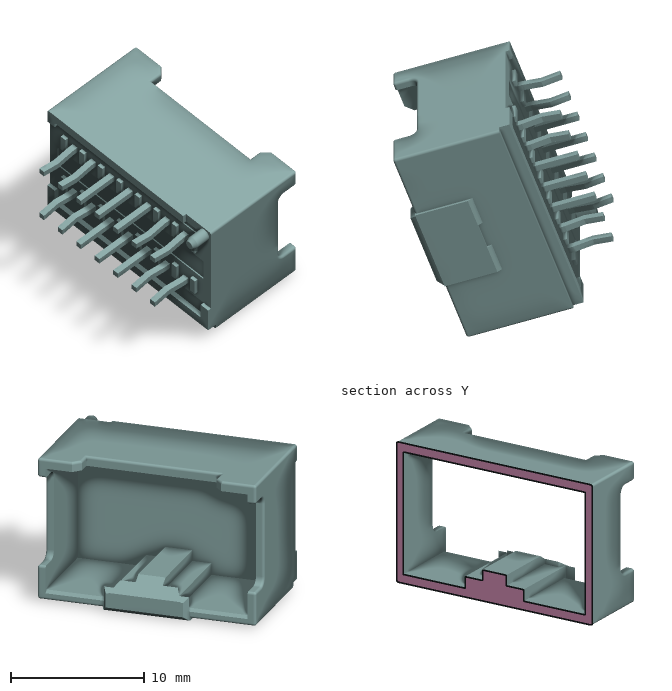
import cadquery as cq


WIDTH = 17.4
DEPTH = 9.25
HEIGHT = 11.3
EDGE_RADIUS = 0.2
HALF_WIDTH = WIDTH / 2

SIDE_WALL = 0.65
TOP_WALL = 0.75
BOTTOM_WALL = 0.75
BASE_THICKNESS = 2.0
MOUTH_BEVEL = 0.23
ROOT_DEPTH = BASE_THICKNESS / 2

SIDE_NOTCH_BOTTOM = 2.7
SIDE_NOTCH_TOP = 9.8
SIDE_NOTCH_FLOOR = 7.38
SIDE_NOTCH_RADIUS = 0.6

TOP_NOTCH_HALF_WIDTH = 5.35
TOP_NOTCH_FLOOR = 7.65
TOP_NOTCH_FLARE = 0.6

FACE_RECESS = 0.3
FACE_BOTTOM = 2.75
FACE_TOP = 10.0
POCKET_FLOOR = 0.4
POCKET_HALF_WIDTH = 7.9
POCKET_RADIUS = 0.15
LOWER_POCKET_BOTTOM = 1.3
MIDDLE_POCKET_BOTTOM = 5.45
MIDDLE_POCKET_TOP = 7.45
GROOVE_TOP = 10.48
GROOVE_RIGHT = 7.3
CORNER_RELIEF_LEFT = 6.0
BOTTOM_STEP_HEIGHT = 0.5
BOTTOM_STEP_DEPTH = 0.82

PITCH = 2.0
PINS_PER_ROW = 7
KINKED_PINS_PER_END = 2
PIN_SIZE = 0.5
PIN_LENGTH = 3.2
UPPER_PIN_Z = 8.95
LOWER_PIN_Z = 3.95
KINK_OFFSET = 0.24
KINK_START = 0.17
KINK_PEAK = 1.7
KINK_END = 3.15
RIB_WIDTH = 0.5
RIB_HEIGHT = 1.43
UPPER_RIB_Z = 8.76
LOWER_RIB_Z = 4.16

PEG_X = 8.0
PEG_Z = 10.65
PEG_RADIUS = 0.5
PEG_TIP_RADIUS = 0.35
PEG_SHOULDER = 0.9
PEG_LENGTH = 1.3

LATCH_HALF_WIDTH = 3.47
LATCH_DROP = 0.2
LATCH_RAMP_START = 4.7
LATCH_RAMP_END = 5.07
HOOK_BACK = DEPTH + 0.5
HOOK_NOSE_BOTTOM = 0.2
HOOK_NOSE_TOP = 1.4
HOOK_SLOPE = 0.65
HOOK_NOSE_HALF_WIDTH = 3.08
HOOK_ROOT_HALF_WIDTH = 3.38
BEAM_HALF_WIDTH = 2.6
BEAM_STEP = 0.05
WEDGE_FRONT = 8.67
WEDGE_NARROW_HALF_WIDTH = 2.28
WEDGE_WIDE_HALF_WIDTH = 2.87
RIDGE_HALF_WIDTH = 1.08
RIDGE_SLOPE_END = 8.02



def block(x_range, y_range, z_range):
    """Axis-aligned box between the given limits."""
    size = [high - low for low, high in (x_range, y_range, z_range)]
    corner = (x_range[0], y_range[0], z_range[0])
    return cq.Workplane("XY").box(*size, centered=False).translate(corner)


def side_profile(points, half_width, center_x=0):
    """Extrude a (y, z) outline symmetrically about center_x."""
    outline = cq.Workplane("YZ", origin=(center_x, 0, 0)).polyline(points).close()
    return outline.extrude(half_width, both=True)


def side_notch():
    z_range = (SIDE_NOTCH_BOTTOM, SIDE_NOTCH_TOP)
    notch = block((-HALF_WIDTH, HALF_WIDTH), (SIDE_NOTCH_FLOOR, DEPTH), z_range)
    return notch.edges("|X and <Y").fillet(SIDE_NOTCH_RADIUS)


def top_notch():
    half = TOP_NOTCH_HALF_WIDTH
    flare_start = DEPTH - TOP_NOTCH_FLARE
    flare_half = half + TOP_NOTCH_FLARE
    points = [
        (-half, TOP_NOTCH_FLOOR),
        (half, TOP_NOTCH_FLOOR),
        (half, flare_start),
        (flare_half, DEPTH),
        (-flare_half, DEPTH),
        (-half, flare_start),
    ]
    outline = cq.Workplane("XY", origin=(0, 0, HEIGHT / 2)).polyline(points).close()
    return outline.extrude(HEIGHT / 2)


def mouth_bevel():
    """Wedge that bevels the inner back edge of the bottom wall."""
    points = [
        (DEPTH - MOUTH_BEVEL, BOTTOM_WALL),
        (DEPTH, BOTTOM_WALL),
        (DEPTH, BOTTOM_WALL - MOUTH_BEVEL),
    ]
    return side_profile(points, HALF_WIDTH - SIDE_WALL)


def outer_shell():
    """Notched housing block with every outer edge rounded except those of the front face."""
    shell = block((-HALF_WIDTH, HALF_WIDTH), (0, DEPTH), (0, HEIGHT))
    cavity = block(
        (SIDE_WALL - HALF_WIDTH, HALF_WIDTH - SIDE_WALL),
        (BASE_THICKNESS, DEPTH),
        (BOTTOM_WALL, HEIGHT - TOP_WALL),
    )
    shell = shell.cut(side_notch())
    notch_corners = cq.selectors.BoxSelector(
        (-HALF_WIDTH, DEPTH - EDGE_RADIUS, SIDE_NOTCH_BOTTOM - EDGE_RADIUS),
        (HALF_WIDTH, DEPTH + EDGE_RADIUS, SIDE_NOTCH_TOP + EDGE_RADIUS),
    )
    shell = shell.edges("|X").edges(notch_corners).fillet(EDGE_RADIUS)
    shell = shell.cut(top_notch()).cut(cavity)
    outer_edges = shell.faces("<X or >X or >Z or <Z").edges("not <Y")
    shell = outer_edges.fillet(EDGE_RADIUS)
    return shell.cut(mouth_bevel())


def front_pocket(x_range, z_range, rounded_edges):
    pocket = block(x_range, (0, POCKET_FLOOR), z_range)
    return pocket.edges(rounded_edges).fillet(POCKET_RADIUS)


def cut_front_face(body):
    full_width = (-HALF_WIDTH, HALF_WIDTH)
    pocket_width = (-POCKET_HALF_WIDTH, POCKET_HALF_WIDTH)
    recess = (0, FACE_RECESS)
    body = body.cut(block(full_width, recess, (FACE_BOTTOM, FACE_TOP)))
    body = body.cut(block((CORNER_RELIEF_LEFT, HALF_WIDTH), recess, (FACE_TOP, HEIGHT)))
    body = body.cut(block(full_width, (0, BOTTOM_STEP_DEPTH), (0, BOTTOM_STEP_HEIGHT)))
    lower_z = (LOWER_POCKET_BOTTOM, FACE_BOTTOM)
    middle_z = (MIDDLE_POCKET_BOTTOM, MIDDLE_POCKET_TOP)
    groove_width = (-POCKET_HALF_WIDTH, GROOVE_RIGHT)
    body = body.cut(front_pocket(pocket_width, lower_z, "|Y and <Z"))
    body = body.cut(front_pocket(pocket_width, middle_z, "|Y"))
    return body.cut(front_pocket(groove_width, (FACE_TOP, GROOVE_TOP), "|Y and >Z"))


def pin(x, z, kink):
    """Square pin whose middle is bent by kink along Z."""
    path = [(ROOT_DEPTH, 0), (-PIN_LENGTH, 0)]
    if kink:
        path[1:1] = [(-KINK_START, 0), (-KINK_PEAK, kink), (-KINK_END, 0)]
    upper = [(y, z + offset + PIN_SIZE / 2) for y, offset in path]
    lower = [(y, z + offset - PIN_SIZE / 2) for y, offset in path]
    return side_profile(upper + lower[::-1], PIN_SIZE / 2, x)


def add_pin_row(body, pin_z, rib_z, kink):
    """Add one row of pins and the standoff ribs on either side of each pin."""
    first_pin_x = -PITCH * (PINS_PER_ROW - 1) / 2
    for index in range(PINS_PER_ROW):
        from_end = min(index, PINS_PER_ROW - 1 - index)
        pin_kink = kink if from_end < KINKED_PINS_PER_END else 0
        body = body.union(pin(first_pin_x + index * PITCH, pin_z, pin_kink))
    for index in range(PINS_PER_ROW + 1):
        rib_x = first_pin_x + (index - 0.5) * PITCH
        body = body.union(
            block(
                (rib_x - RIB_WIDTH / 2, rib_x + RIB_WIDTH / 2),
                (0, ROOT_DEPTH),
                (rib_z - RIB_HEIGHT / 2, rib_z + RIB_HEIGHT / 2),
            )
        )
    return body


def locating_peg():
    points = [
        (0, ROOT_DEPTH),
        (-PEG_RADIUS, ROOT_DEPTH),
        (-PEG_RADIUS, -PEG_SHOULDER),
        (-PEG_TIP_RADIUS, -PEG_LENGTH),
        (0, -PEG_LENGTH),
    ]
    peg = cq.Workplane("XY").polyline(points).close().revolve(360, (0, 0, 0), (0, 1, 0))
    return peg.translate((PEG_X, 0, PEG_Z))


def hook_slope_height(y):
    """Height of the sloped top of the hook at depth y."""
    return HOOK_NOSE_TOP + HOOK_SLOPE * (HOOK_BACK - y)


def trapezoid_prism(front_y, front_half_width, back_y, back_half_width):
    """Upright prism over the full housing height on a plan trapezoid centred on X = 0."""
    points = [
        (-front_half_width, front_y),
        (front_half_width, front_y),
        (back_half_width, back_y),
        (-back_half_width, back_y),
    ]
    return cq.Workplane("XY").polyline(points).close().extrude(HEIGHT)


def latch_pad():
    """Pad under the bottom wall, ramped at the front except in the middle."""
    profile = [
        (LATCH_RAMP_START, 0),
        (LATCH_RAMP_END, -LATCH_DROP),
        (DEPTH, -LATCH_DROP),
        (DEPTH, BOTTOM_WALL / 2),
        (LATCH_RAMP_START, BOTTOM_WALL / 2),
    ]
    ramp_gap = block(
        (-RIDGE_HALF_WIDTH, RIDGE_HALF_WIDTH),
        (LATCH_RAMP_START, LATCH_RAMP_END),
        (-LATCH_DROP, 0),
    )
    return side_profile(profile, LATCH_HALF_WIDTH).cut(ramp_gap)


def hook_nose():
    """Part of the hook that projects behind the housing, tapering in plan."""
    profile = [
        (DEPTH, -LATCH_DROP),
        (HOOK_BACK, HOOK_NOSE_BOTTOM),
        (HOOK_BACK, HOOK_NOSE_TOP - BEAM_STEP),
        (DEPTH, hook_slope_height(DEPTH) - BEAM_STEP),
    ]
    nose = side_profile(profile, HOOK_ROOT_HALF_WIDTH)
    plan = trapezoid_prism(DEPTH, HOOK_ROOT_HALF_WIDTH, HOOK_BACK, HOOK_NOSE_HALF_WIDTH)
    below_plan = plan.translate((0, 0, -LATCH_DROP))
    return nose.intersect(below_plan)


def hook_top():
    """Beam along the cavity, with a sloped wedge and a narrow ridge standing on it."""
    beam_top = hook_slope_height(DEPTH) - BEAM_STEP
    ridge_top = hook_slope_height(RIDGE_SLOPE_END)
    beam_half = (-BEAM_HALF_WIDTH, BEAM_HALF_WIDTH)
    beam = block(beam_half, (BASE_THICKNESS, DEPTH), (BOTTOM_WALL / 2, beam_top))
    profile = [
        (BASE_THICKNESS, BOTTOM_WALL / 2),
        (HOOK_BACK, BOTTOM_WALL / 2),
        (HOOK_BACK, HOOK_NOSE_TOP),
        (RIDGE_SLOPE_END, ridge_top),
        (BASE_THICKNESS, ridge_top),
    ]
    ridge = side_profile(profile, RIDGE_HALF_WIDTH)
    wedge = side_profile(profile, WEDGE_WIDE_HALF_WIDTH).intersect(
        trapezoid_prism(WEDGE_FRONT, WEDGE_NARROW_HALF_WIDTH, HOOK_BACK, WEDGE_WIDE_HALF_WIDTH)
    )
    return beam.union(wedge).union(ridge)


result = cut_front_face(outer_shell())
result = add_pin_row(result, UPPER_PIN_Z, UPPER_RIB_Z, -KINK_OFFSET)
result = add_pin_row(result, LOWER_PIN_Z, LOWER_RIB_Z, KINK_OFFSET)
result = result.union(locating_peg())
result = result.union(latch_pad()).union(hook_nose()).union(hook_top())